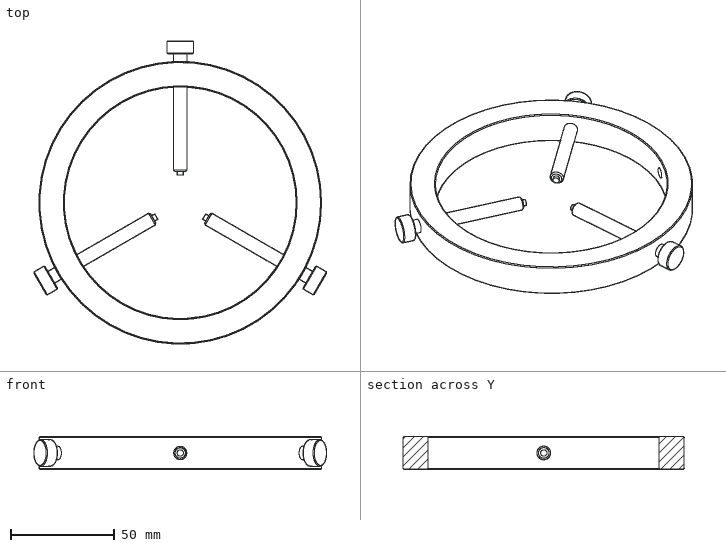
import cadquery as cq

ring_outer_radius = 68.5
ring_inner_radius = 56.2
ring_height = 16.0
ring_chamfer = 0.5

screw_count = 3
first_screw_angle = 90
overall_length = 147
knob_end_radius = overall_length - ring_outer_radius
knob_diameter = 13.0
knob_length = 6.3
knob_chamfer = 0.5
screw_length = 65.1
shank_diameter = 6.6
shank_chamfer = 0.7
tip_diameter = 3.1
tip_length = 1.8

mount_hole_diameter = 5.0
mount_mouth_diameter = 6.5


def make_ring():
    """Flat ring with all four circular edges chamfered."""
    return (
        cq.Workplane("XY", origin=(0, 0, -ring_height / 2))
        .circle(ring_outer_radius)
        .circle(ring_inner_radius)
        .extrude(ring_height)
        .faces("|Z")
        .edges()
        .chamfer(ring_chamfer)
    )


def make_screw():
    """Knobbed screw along +X, with its reduced tip nearest the ring centre."""
    tip_start = knob_end_radius - screw_length
    shank_start = tip_start + tip_length
    knob_start = knob_end_radius - knob_length
    tip = cq.Workplane("YZ", origin=(tip_start, 0, 0)).circle(tip_diameter / 2).extrude(tip_length)
    shank = (
        cq.Workplane("YZ", origin=(shank_start, 0, 0))
        .circle(shank_diameter / 2)
        .extrude(knob_start - shank_start)
        .faces("<X")
        .chamfer(shank_chamfer)
    )
    knob = (
        cq.Workplane("YZ", origin=(knob_start, 0, 0))
        .circle(knob_diameter / 2)
        .extrude(knob_length)
        .edges()
        .chamfer(knob_chamfer)
    )
    return tip.union(shank).union(knob)


def make_mount_hole():
    """Cutter running from the ring centre out through the -Y wall, with a 45 degree flared mouth."""
    hole_radius = mount_hole_diameter / 2
    mouth_radius = mount_mouth_diameter / 2
    flare_depth = mouth_radius - hole_radius
    flare = cq.Solid.makeCone(
        mouth_radius,
        hole_radius,
        flare_depth,
        pnt=cq.Vector(0, -ring_outer_radius, 0),
        dir=cq.Vector(0, 1, 0),
    )
    return cq.Workplane("XZ").circle(hole_radius).extrude(ring_outer_radius).union(flare)


result = make_ring().cut(make_mount_hole())
screw = make_screw()
for index in range(screw_count):
    angle = first_screw_angle + index * 360 / screw_count
    result = result.union(screw.rotate((0, 0, 0), (0, 0, 1), angle))